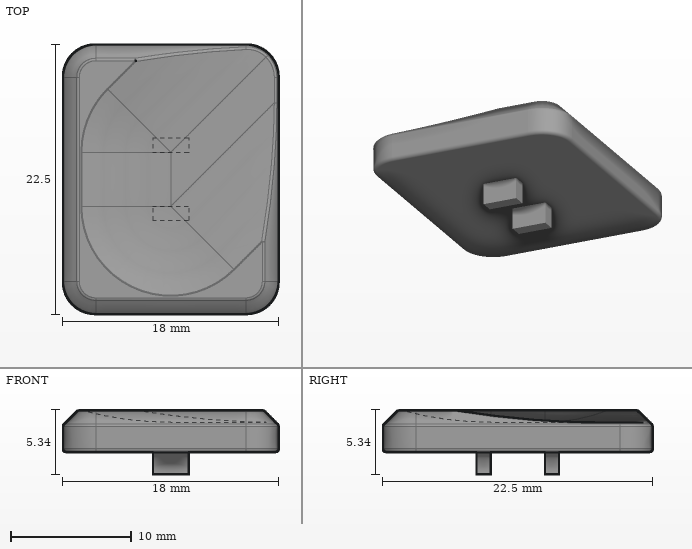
import cadquery as cq
import math

WIDTH = 18.0
LENGTH = 22.5
TOTAL_HEIGHT = 5.34
BODY_HEIGHT = 3.5
CORNER_RADIUS = 2.75
TOP_CHAMFER = 1.25
EDGE_FILLET = 0.3

SCOOP_RADIUS = 7.45
SCOOP_DEPTH = 1.0
SCOOP_CENTRE_Y = 2.25
SCOOP_CURVE_RADIUS = (SCOOP_RADIUS**2 + SCOOP_DEPTH**2) / (2 * SCOOP_DEPTH)

RUNOUT_ANGLE = 45.0
LEFT_BANK_ANGLE = RUNOUT_ANGLE + 90
FLANK_ANGLE = 180
RIGHT_BANK_ANGLE = RUNOUT_ANGLE + 270
RUNOUT_LENGTH = math.hypot(WIDTH, LENGTH)

LEG_WIDTH = 3.0
LEG_THICKNESS = 1.2
LEG_SPACING = 5.7
LEG_LENGTH = TOTAL_HEIGHT - BODY_HEIGHT

CHAMFER_FOOT_Z = BODY_HEIGHT - TOP_CHAMFER
FLOOR_Z = BODY_HEIGHT - SCOOP_DEPTH


def make_body():
    """Rounded block on Z = 0 with chamfered top edges, rounded at the base and under the chamfer."""
    block = cq.Workplane("XY").box(WIDTH, LENGTH, BODY_HEIGHT, centered=(True, True, False))
    block = block.edges("|Z").fillet(CORNER_RADIUS)
    block = block.faces(">Z").edges().chamfer(TOP_CHAMFER)
    chamfer_foot = cq.selectors.BoxSelector(
        (-WIDTH, -LENGTH, CHAMFER_FOOT_Z - EDGE_FILLET),
        (WIDTH, LENGTH, CHAMFER_FOOT_Z + EDGE_FILLET),
    )
    block = block.edges(chamfer_foot).fillet(EDGE_FILLET)
    return block.faces("<Z").edges().fillet(EDGE_FILLET)


def half_scoop_section(plane):
    """Half section of the scoop, from its deepest point out along local +X to the rim."""
    half_angle = math.asin(SCOOP_RADIUS / SCOOP_CURVE_RADIUS) / 2
    mid_reach = SCOOP_CURVE_RADIUS * math.sin(half_angle)
    mid_rise = SCOOP_CURVE_RADIUS * (1 - math.cos(half_angle))
    return (
        cq.Workplane(plane)
        .threePointArc((mid_reach, mid_rise), (SCOOP_RADIUS, SCOOP_DEPTH))
        .lineTo(0, SCOOP_DEPTH)
        .close()
    )


def scoop_plane(centre_y, outward_angle):
    """Vertical plane through a dish centre: local X is outward and local Y is up."""
    outward = math.radians(outward_angle)
    return cq.Plane(
        origin=(0, centre_y, FLOOR_Z),
        xDir=(math.cos(outward), math.sin(outward), 0),
        normal=(math.sin(outward), -math.cos(outward), 0),
    )


def dish_end(centre_y, start_angle, end_angle):
    """Spherical sector of the dish, swept anticlockwise about a dish centre."""
    section = half_scoop_section(scoop_plane(centre_y, start_angle))
    return section.revolve(end_angle - start_angle, (0, 0), (0, 1))


def dish_side():
    """Straight cylindrical flank joining the dish ends on the -X side."""
    section = half_scoop_section(scoop_plane(SCOOP_CENTRE_Y, FLANK_ANGLE))
    return section.extrude(-2 * SCOOP_CENTRE_Y)


def runout_left():
    """Left-hand bank of the runout, starting beside the +Y dish centre."""
    return half_scoop_section(scoop_plane(SCOOP_CENTRE_Y, LEFT_BANK_ANGLE)).extrude(RUNOUT_LENGTH)


def runout_right():
    """Right-hand bank of the runout, starting beside the -Y dish centre."""
    return half_scoop_section(scoop_plane(-SCOOP_CENTRE_Y, RIGHT_BANK_ANGLE)).extrude(-RUNOUT_LENGTH)


def runout_floor():
    """Flat strip of the runout between the two banks."""
    reach_x = RUNOUT_LENGTH * math.cos(math.radians(RUNOUT_ANGLE))
    reach_y = RUNOUT_LENGTH * math.sin(math.radians(RUNOUT_ANGLE))
    return (
        cq.Workplane("XY", origin=(0, 0, FLOOR_Z))
        .moveTo(0, -SCOOP_CENTRE_Y)
        .lineTo(reach_x, reach_y - SCOOP_CENTRE_Y)
        .lineTo(reach_x, reach_y + SCOOP_CENTRE_Y)
        .lineTo(0, SCOOP_CENTRE_Y)
        .close()
        .extrude(SCOOP_DEPTH)
    )


def make_legs():
    """Two flat stem legs hanging below the cap."""
    return (
        cq.Workplane("XY")
        .rarray(1, LEG_SPACING, 1, 2)
        .rect(LEG_WIDTH, LEG_THICKNESS)
        .extrude(-LEG_LENGTH)
    )


def cut_scoop(body):
    """Cut the dish and its runout, leaving smooth joints between the pieces."""
    cutters = (
        runout_floor(),
        runout_left(),
        runout_right(),
        dish_side(),
        dish_end(SCOOP_CENTRE_Y, LEFT_BANK_ANGLE, FLANK_ANGLE),
        dish_end(-SCOOP_CENTRE_Y, FLANK_ANGLE, RIGHT_BANK_ANGLE),
    )
    for cutter in cutters:
        body = body.cut(cutter, clean=False)
    return body


def round_rim(body):
    """Round the top face outline, the scoop rim and the lip where the runout leaves the chamfer."""
    lip_point = (WIDTH / 2 - TOP_CHAMFER / 2, 0, BODY_HEIGHT - SCOOP_DEPTH / 2)
    lip_edge = body.edges(cq.selectors.NearestToPointSelector(lip_point))
    return body.faces(">Z").edges().add(lip_edge).fillet(EDGE_FILLET)


cap = round_rim(cut_scoop(make_body()))
result = cap.union(make_legs(), clean=False)